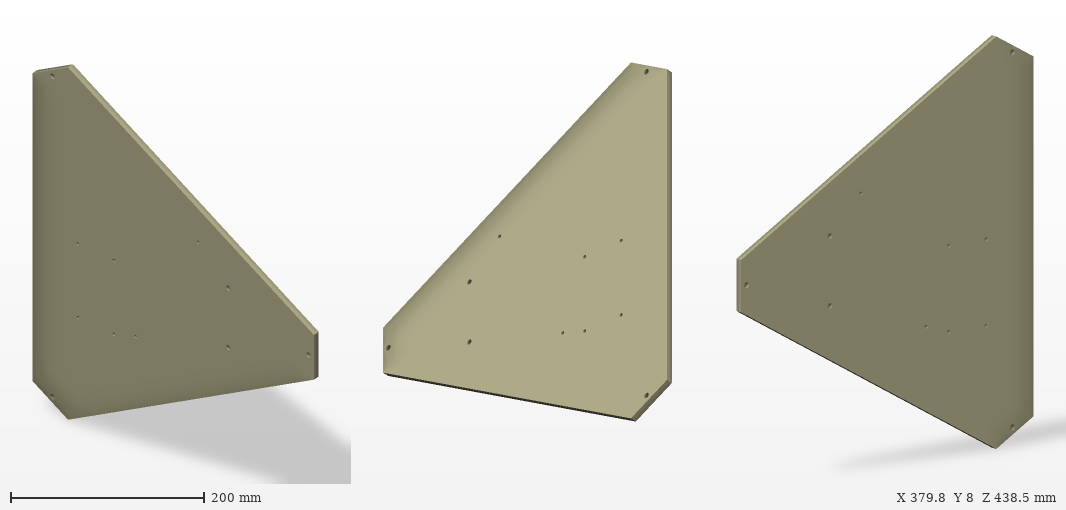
import cadquery as cq
import math

HEIGHT = 438.5
CORNER_EDGE = 55.5
THICKNESS = 8.0
LONG_EDGE = HEIGHT - CORNER_EDGE
CORNER_EDGE_DISTANCE = (2 * LONG_EDGE + CORNER_EDGE) / (2 * math.sqrt(3))

CORNER_COUNT = 3
CORNER_STEP = 360 / CORNER_COUNT
CORNER_HOLE_DIAMETER = 6.0
CORNER_HOLE_RADIUS = 230.0

PAIR_HOLE_DIAMETER = 5.5
PAIR_X = 122.0
PAIR_SPACING = 74.0

SMALL_HOLE_DIAMETER = 4.0
RECTANGLE_LEFT = -81.0
RECTANGLE_BOTTOM = -86.5
RECTANGLE_WIDTH = 48.5
RECTANGLE_HEIGHT = 91.5
SINGLE_HOLE_Z = 76.7
UPPER_SINGLE_X = 81.5
LOWER_SINGLE_X = -3.0


def rotate_point(x, z, degrees):
    """Turn a point about the triangle centre."""
    angle = math.radians(degrees)
    return (
        x * math.cos(angle) - z * math.sin(angle),
        x * math.sin(angle) + z * math.cos(angle),
    )


def make_plate():
    outline = []
    for corner in range(CORNER_COUNT):
        for side in (-1, 1):
            outline.append(
                rotate_point(CORNER_EDGE_DISTANCE, side * CORNER_EDGE / 2, corner * CORNER_STEP)
            )
    return cq.Workplane("XZ").polyline(outline).close().extrude(THICKNESS / 2, both=True)


def drill(plate, centres, diameter):
    """Cut round holes right through the thickness."""
    cutters = (
        cq.Workplane("XZ").pushPoints(centres).circle(diameter / 2).extrude(THICKNESS, both=True)
    )
    return plate.cut(cutters)


corner_holes = [
    rotate_point(CORNER_HOLE_RADIUS, 0, corner * CORNER_STEP) for corner in range(CORNER_COUNT)
]
pair_holes = [(PAIR_X, side * PAIR_SPACING / 2) for side in (-1, 1)]
small_holes = [
    (RECTANGLE_LEFT + column * RECTANGLE_WIDTH, RECTANGLE_BOTTOM + row * RECTANGLE_HEIGHT)
    for column in range(2)
    for row in range(2)
]
small_holes += [(UPPER_SINGLE_X, SINGLE_HOLE_Z), (LOWER_SINGLE_X, -SINGLE_HOLE_Z)]

result = make_plate()
result = drill(result, corner_holes, CORNER_HOLE_DIAMETER)
result = drill(result, pair_holes, PAIR_HOLE_DIAMETER)
result = drill(result, small_holes, SMALL_HOLE_DIAMETER)